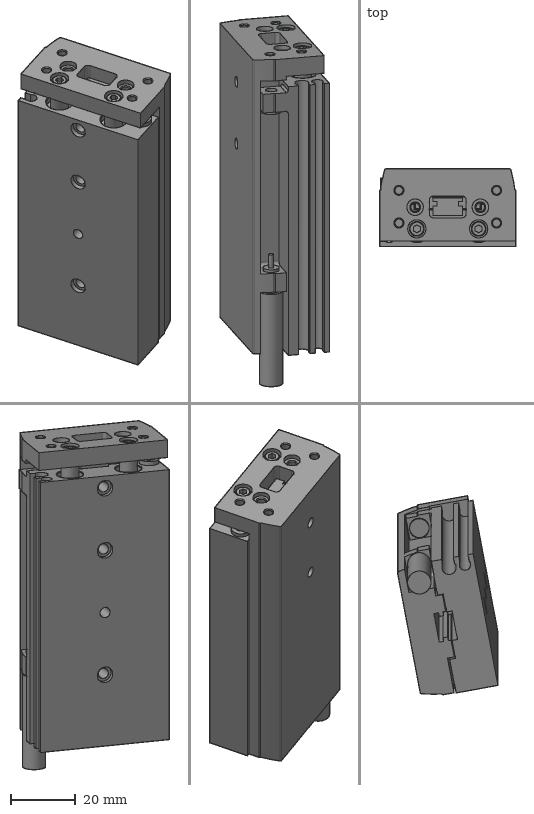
import cadquery as cq


WIDTH = 42.0
DEPTH = 24.0
LENGTH = 105.8
HALF_WIDTH = WIDTH / 2

HOUSING_BOTTOM = 9.8
HOUSING_TOP = 96.7
HOUSING_DEPTH = 13.1

STOP_BOTTOM = 88.8
STOP_TOP = 94.8
STOP_BACK = 21.2
STOP_INNER_X = -13.8
STOP_FOOT_CHAMFER = 0.6
STOP_HOLE_DIA = 3.5
BUMPER_DIA = 6.0
BUMPER_HEIGHT = 1.0

GROOVE_X = -18.1
FRONT_GROOVE_Y = 3.1
FRONT_GROOVE_DIA = 3.5
FRONT_GROOVE_MOUTH = 2.9
REAR_GROOVE_Y = 8.0
REAR_GROOVE_DIA = 4.3
REAR_GROOVE_MOUTH = 3.7

PLUG_X = 17.5
PLUG_Y = 9.0
PLUG_DIA = 6.0
PLUG_HEIGHT = 1.3
PLUG_TIP_DIA = 3.3
PLUG_TIP_HEIGHT = 0.6

HOLE_PITCH = 20.0
TOP_HOLE_Z = 92.8
MOUNT_HOLE_DIA = 3.3
MOUNT_RECESS_DIA = 5.0
MOUNT_RECESS_DEPTH = 1.6
HOLE_COUNT = 4
HOLE_ZS = [TOP_HOLE_Z - i * HOLE_PITCH for i in range(HOLE_COUNT)]
THROUGH_HOLE_ZS = HOLE_ZS[:2]
RECESSED_HOLE_ZS = HOLE_ZS[:2] + HOLE_ZS[3:]

TABLE_BOTTOM = 10.8
TABLE_FRONT = 13.8
TABLE_PLATE_FRONT = 21.7
TAPER_START_Y = 17.2
TAPER_LEDGE = 0.3
TAPER_MID_X = 20.2
TAPER_MID_Y = 20.5
TAPER_END_X = 19.4
CORNER_RADIUS = 0.5
SIDE_POCKET_INNER_X = -12.5
SIDE_POCKET_RADIUS = 1.3
STOP_POCKET_BOTTOM = 36.6
STOP_POCKET_TOP = 98.9
ABSORBER_POCKET_TOP = 30.6

END_PLATE_FRONT = 1.7
END_PLATE_BOTTOM = 100.1
SLOT_WIDTH = 11.3
SLOT_FRONT = 8.9
SLOT_BACK = 15.7
SLOT_RADIUS = 1.3
CORNER_HOLE_X = 15.0
CORNER_HOLE_YS = [7.3, 17.4]
CORNER_HOLE_DIA = 2.4
CORNER_HOLE_CHAMFER = 0.3
CORNER_HOLE_DEPTH = 5.0
SCREW_HOLE_X = 10.0
SCREW_HOLE_Y = 12.2
SCREW_HOLE_DIA = 2.6
SCREW_HOLE_CHAMFER = 0.3
SCREW_RECESS_DIA = 5.1
SCREW_RECESS_DEPTH = 1.5

CHANNEL_HALF_WIDTH = 10.3
CHANNEL_FLOOR = 11.3
CARRIAGE_CLEARANCE = 0.3
CARRIAGE_TOP = 96.1

RAIL_WIDTH = 9.1
RAIL_FRONT = 9.6
RAIL_BACK = 15.0
RAIL_BOTTOM = 52.5
RAIL_TOP = 101.6
RACE_FRONT = 12.5
RACE_BACK = 14.0
RACE_DEPTH = 1.2

ROD_X = 9.5
ROD_Y = 5.5
ROD_DIA = 5.6
ROD_BOTTOM = 63.5
BORE_DIA = 8.0
BORE_DEPTH = 2.0
BORE_CHAMFER = 0.2
ROD_NECK_DIA = 3.3
ROD_HEAD_DIA = 4.5
ROD_HEAD_CHAMFER = 0.2
ROD_HEAD_RECESS_DIA = 5.6
ROD_HEAD_BOTTOM = 102.1
ROD_HEAD_TOP = 105.2
ROD_SOCKET_CORNERS = 2.4
ROD_SOCKET_DEPTH = 2.0
HEXAGON_SIDES = 6
HEXAGON_TURN = 180 / HEXAGON_SIDES

ABSORBER_X = -17.0
ABSORBER_Y = 17.6
ABSORBER_DIA = 7.2
ABSORBER_SHOULDER_Z = 29.8
ABSORBER_NECK_DIA = 5.0
ABSORBER_NECK_TOP = 37.5
PLUNGER_DIA = 1.5
PLUNGER_TOP = 41.7


def box(x0, x1, y0, y1, z0, z1):
    """Block between two opposite corners."""
    return cq.Workplane("XY").box(x1 - x0, y1 - y0, z1 - z0, centered=False).translate((x0, y0, z0))


def upright(x, y, diameter, z0, z1):
    """Cylinder along Z."""
    return cq.Workplane("XY", origin=(x, y, z0)).circle(diameter / 2).extrude(z1 - z0)


def countersink(x, y, diameter, chamfer, top):
    """Cone that breaks the upper edge of a hole by a 45 degree chamfer."""
    mouth = cq.Workplane("XY", origin=(x, y, top)).circle(diameter / 2 + chamfer)
    return mouth.workplane(offset=-chamfer).circle(diameter / 2).loft()


def crosswise(z, diameter, y0, y1):
    """Cylinder along Y on the middle plane X = 0."""
    return cq.Workplane("XZ", origin=(0, y0, z)).circle(diameter / 2).extrude(y0 - y1)


def sensor_groove(y, diameter, mouth):
    """Round groove along the -X side that opens through a narrower mouth."""
    groove = upright(GROOVE_X, y, diameter, HOUSING_BOTTOM, HOUSING_TOP)
    return groove.union(
        box(-HALF_WIDTH, GROOVE_X, y - mouth / 2, y + mouth / 2, HOUSING_BOTTOM, HOUSING_TOP)
    )


def stop_block():
    """Block with a chamfered foot and a bumper below, which the shock absorber meets."""
    foot_y = HOUSING_DEPTH + STOP_FOOT_CHAMFER
    block = (
        cq.Workplane("YZ", origin=(-HALF_WIDTH, 0, 0))
        .moveTo(CHANNEL_FLOOR, STOP_BOTTOM - STOP_FOOT_CHAMFER)
        .lineTo(HOUSING_DEPTH, STOP_BOTTOM - STOP_FOOT_CHAMFER)
        .lineTo(foot_y, STOP_BOTTOM)
        .lineTo(STOP_BACK, STOP_BOTTOM)
        .lineTo(STOP_BACK, STOP_TOP)
        .lineTo(foot_y, STOP_TOP)
        .lineTo(HOUSING_DEPTH, STOP_TOP + STOP_FOOT_CHAMFER)
        .lineTo(CHANNEL_FLOOR, STOP_TOP + STOP_FOOT_CHAMFER)
        .close()
        .extrude(STOP_INNER_X + HALF_WIDTH)
    )
    ledge = (
        cq.Workplane("XY", origin=(0, 0, STOP_BOTTOM))
        .moveTo(-HALF_WIDTH, TAPER_START_Y)
        .lineTo(-HALF_WIDTH + TAPER_LEDGE, TAPER_START_Y + TAPER_LEDGE)
        .lineTo(-HALF_WIDTH + TAPER_LEDGE, STOP_BACK)
        .lineTo(-HALF_WIDTH, STOP_BACK)
        .close()
        .extrude(STOP_TOP - STOP_BOTTOM)
    )
    bumper = upright(ABSORBER_X, ABSORBER_Y, BUMPER_DIA, STOP_BOTTOM - BUMPER_HEIGHT, STOP_BOTTOM)
    hole = upright(ABSORBER_X, ABSORBER_Y, STOP_HOLE_DIA, STOP_BOTTOM, STOP_TOP)
    return block.cut(ledge).cut(hole).union(bumper)


def make_housing():
    body = box(-HALF_WIDTH, HALF_WIDTH, 0, HOUSING_DEPTH, HOUSING_BOTTOM, HOUSING_TOP)
    body = body.cut(sensor_groove(FRONT_GROOVE_Y, FRONT_GROOVE_DIA, FRONT_GROOVE_MOUTH))
    body = body.cut(sensor_groove(REAR_GROOVE_Y, REAR_GROOVE_DIA, REAR_GROOVE_MOUTH))
    body = body.union(stop_block())

    body = body.cut(
        box(
            -CHANNEL_HALF_WIDTH, CHANNEL_HALF_WIDTH,
            CHANNEL_FLOOR, HOUSING_DEPTH,
            HOUSING_BOTTOM, HOUSING_TOP,
        )
    )
    body = body.cut(
        box(-RAIL_WIDTH / 2, RAIL_WIDTH / 2, RAIL_FRONT, CHANNEL_FLOOR, HOUSING_BOTTOM, HOUSING_TOP)
    )

    for side in (-1, 1):
        body = body.cut(upright(side * ROD_X, ROD_Y, ROD_DIA, ROD_BOTTOM, HOUSING_TOP))
        body = body.cut(upright(side * ROD_X, ROD_Y, BORE_DIA, HOUSING_TOP - BORE_DEPTH, HOUSING_TOP))
        body = body.cut(countersink(side * ROD_X, ROD_Y, BORE_DIA, BORE_CHAMFER, HOUSING_TOP))

    for z in HOLE_ZS:
        body = body.cut(crosswise(z, MOUNT_HOLE_DIA, 0, RAIL_FRONT))
    for z in RECESSED_HOLE_ZS:
        body = body.cut(crosswise(z, MOUNT_RECESS_DIA, 0, MOUNT_RECESS_DEPTH))

    plug_top = HOUSING_TOP + PLUG_HEIGHT
    body = body.union(upright(PLUG_X, PLUG_Y, PLUG_DIA, HOUSING_TOP, plug_top))
    return body.union(upright(PLUG_X, PLUG_Y, PLUG_TIP_DIA, plug_top, plug_top + PLUG_TIP_HEIGHT))


def table_section(front, z0, z1):
    """Table cross-section, from a front face to the tapered back, as a prism."""
    ledge_x = HALF_WIDTH - TAPER_LEDGE
    return (
        cq.Workplane("XY", origin=(0, 0, z0))
        .moveTo(-HALF_WIDTH, front)
        .lineTo(HALF_WIDTH, front)
        .lineTo(HALF_WIDTH, TAPER_START_Y)
        .lineTo(ledge_x, TAPER_START_Y + TAPER_LEDGE)
        .threePointArc((TAPER_MID_X, TAPER_MID_Y), (TAPER_END_X, DEPTH))
        .lineTo(-TAPER_END_X, DEPTH)
        .threePointArc((-TAPER_MID_X, TAPER_MID_Y), (-ledge_x, TAPER_START_Y + TAPER_LEDGE))
        .lineTo(-HALF_WIDTH, TAPER_START_Y)
        .close()
        .extrude(z1 - z0)
        .edges("|Z and >Y")
        .fillet(CORNER_RADIUS)
    )


def side_pocket(z0, z1, rounded_edges):
    """Pocket in the -X side of the table, open to the side and to the front."""
    pocket = box(-WIDTH, SIDE_POCKET_INNER_X, TABLE_FRONT, TABLE_PLATE_FRONT, z0, z1)
    return pocket.edges("|Y and >X").edges(rounded_edges).fillet(SIDE_POCKET_RADIUS)


def rail_section(z0, z1):
    """Rail cross-section with a square raceway in each side, as a prism."""
    half = RAIL_WIDTH / 2
    rail = box(-half, half, RAIL_FRONT, RAIL_BACK, z0, z1)
    for x0 in (-half, half - RACE_DEPTH):
        rail = rail.cut(box(x0, x0 + RACE_DEPTH, RACE_FRONT, RACE_BACK, z0, z1))
    return rail


def make_table():
    carriage_half = CHANNEL_HALF_WIDTH - CARRIAGE_CLEARANCE
    carriage_front = CHANNEL_FLOOR + CARRIAGE_CLEARANCE
    body = table_section(TABLE_FRONT, TABLE_BOTTOM, LENGTH)
    body = body.union(table_section(END_PLATE_FRONT, END_PLATE_BOTTOM, LENGTH))
    body = body.union(
        box(-carriage_half, carriage_half, carriage_front, TABLE_FRONT, TABLE_BOTTOM, CARRIAGE_TOP)
    )
    body = body.cut(rail_section(TABLE_BOTTOM, RAIL_TOP))
    body = body.cut(
        box(
            -RAIL_WIDTH / 2, RAIL_WIDTH / 2,
            RAIL_BACK, RAIL_BACK + CARRIAGE_CLEARANCE,
            TABLE_BOTTOM, RAIL_TOP,
        )
    )

    body = body.cut(side_pocket(STOP_POCKET_BOTTOM, STOP_POCKET_TOP, "|Y"))
    body = body.cut(side_pocket(0, ABSORBER_POCKET_TOP, ">Z"))
    body = body.cut(
        upright(ABSORBER_X, ABSORBER_Y, ABSORBER_NECK_DIA, ABSORBER_SHOULDER_Z, ABSORBER_NECK_TOP)
    )

    slot = box(-SLOT_WIDTH / 2, SLOT_WIDTH / 2, SLOT_FRONT, SLOT_BACK, CARRIAGE_TOP, LENGTH)
    body = body.cut(slot.edges("|Z").fillet(SLOT_RADIUS))

    for z in THROUGH_HOLE_ZS:
        body = body.cut(crosswise(z, MOUNT_HOLE_DIA, TABLE_FRONT, DEPTH))

    for side in (-1, 1):
        x = side * CORNER_HOLE_X
        for y in CORNER_HOLE_YS:
            body = body.cut(upright(x, y, CORNER_HOLE_DIA, LENGTH - CORNER_HOLE_DEPTH, LENGTH))
            body = body.cut(countersink(x, y, CORNER_HOLE_DIA, CORNER_HOLE_CHAMFER, LENGTH))
        x = side * SCREW_HOLE_X
        body = body.cut(upright(x, SCREW_HOLE_Y, SCREW_HOLE_DIA, END_PLATE_BOTTOM, LENGTH))
        body = body.cut(upright(x, SCREW_HOLE_Y, SCREW_RECESS_DIA, LENGTH - SCREW_RECESS_DEPTH, LENGTH))
        body = body.cut(
            countersink(x, SCREW_HOLE_Y, SCREW_HOLE_DIA, SCREW_HOLE_CHAMFER, LENGTH - SCREW_RECESS_DEPTH)
        )
        x = side * ROD_X
        body = body.cut(upright(x, ROD_Y, ROD_NECK_DIA, END_PLATE_BOTTOM, LENGTH))
        body = body.cut(upright(x, ROD_Y, ROD_HEAD_RECESS_DIA, ROD_HEAD_BOTTOM, LENGTH))
    return body


def make_rail():
    rail = rail_section(RAIL_BOTTOM, RAIL_TOP)
    for z in THROUGH_HOLE_ZS:
        rail = rail.cut(crosswise(z, MOUNT_HOLE_DIA, RAIL_FRONT, RAIL_BACK))
    return rail


def make_piston_rod(x):
    """Rod with a socket head that holds the end plate."""
    rod = upright(x, ROD_Y, ROD_DIA, ROD_BOTTOM, END_PLATE_BOTTOM)
    rod = rod.union(upright(x, ROD_Y, ROD_NECK_DIA, END_PLATE_BOTTOM, ROD_HEAD_BOTTOM))
    head = upright(x, ROD_Y, ROD_HEAD_DIA, ROD_HEAD_BOTTOM, ROD_HEAD_TOP)
    rod = rod.union(head.faces(">Z").chamfer(ROD_HEAD_CHAMFER))
    socket = (
        cq.Workplane("XY", origin=(x, ROD_Y, ROD_HEAD_TOP))
        .transformed(rotate=(0, 0, HEXAGON_TURN))
        .polygon(HEXAGON_SIDES, ROD_SOCKET_CORNERS)
        .extrude(-ROD_SOCKET_DEPTH)
    )
    return rod.cut(socket)


def make_shock_absorber():
    absorber = upright(ABSORBER_X, ABSORBER_Y, ABSORBER_DIA, 0, ABSORBER_SHOULDER_Z)
    absorber = absorber.union(
        upright(ABSORBER_X, ABSORBER_Y, ABSORBER_NECK_DIA, ABSORBER_SHOULDER_Z, ABSORBER_NECK_TOP)
    )
    return absorber.union(upright(ABSORBER_X, ABSORBER_Y, PLUNGER_DIA, ABSORBER_NECK_TOP, PLUNGER_TOP))


housing = make_housing()
table = make_table()
rail = make_rail()
piston_rods = [make_piston_rod(side * ROD_X) for side in (-1, 1)]
shock_absorber = make_shock_absorber()

result = cq.Compound.makeCompound(
    [
        housing.val(),
        table.val(),
        rail.val(),
        *[rod.val() for rod in piston_rods],
        shock_absorber.val(),
    ]
)